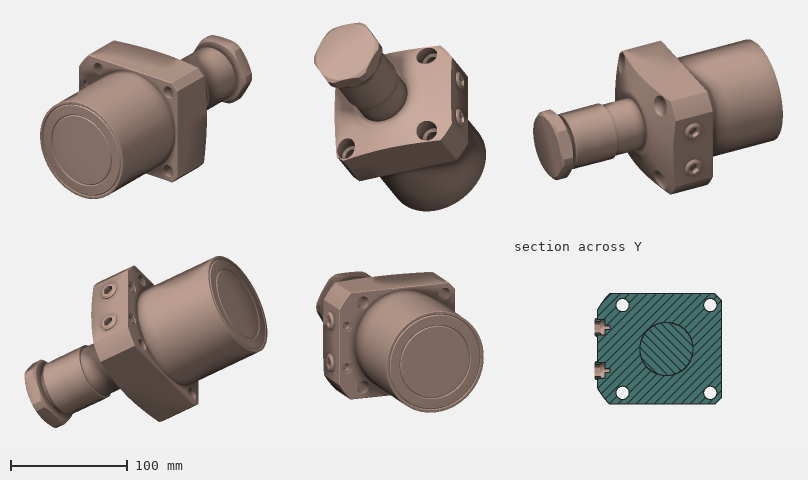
import cadquery as cq
import math

OVERALL_LENGTH = 203.0

BLOCK_HALF = 47.5
PORT_FACE_X = -59.3
BLOCK_CORNER_RADIUS = 68.0
BLOCK_CORNER_CHAMFER = 6.0
BLOCK_FRONT_Y = 73.7
BLOCK_BACK_Y = 120.2
BLOCK_EDGE_CHAMFER = 0.5
BACK_FLAT_RADIUS = 27.8
BACK_CONE_ANGLE = 15.0
BACK_CONE_MARGIN = 2.0
BARREL_RADIUS = 44.9
BARREL_EDGE_CHAMFER = 0.5
MOUNT_HOLE_OFFSET = 37.5
MOUNT_HOLE_RADIUS = 5.5
MOUNT_HEAD_RADIUS = 9.0
MOUNT_HEAD_SEAT_Y = 101.5

PORT_OFFSET_Z = 18.5
SIDE_PORT_Y = 92.8
SIDE_PORT_RADIUS = 6.5
SIDE_PORT_END_X = -52.8
SIDE_PILOT_RADIUS = 1.6
SIDE_PILOT_END_X = -48.7
FRONT_PORT_X = -52.4
FRONT_PORT_RADIUS = 3.2
FRONT_PORT_SEAL_RADIUS = 5.3
FRONT_PORT_SEAL_DEPTH = 1.2

PLUG_HEAD_HEIGHT = 2.2
PLUG_HEAD_RADIUS = 8.0
PLUG_FACE_RADIUS = 6.3
PLUG_RIM_HEIGHT = 1.0
PLUG_SHANK_LENGTH = 3.2
PLUG_HEX_WIDTH = 8.3
PLUG_HEX_DEPTH = 4.9

CLOSURE_DEPTH = 16.2
RING_RADIUS = 41.8
DISC_RADIUS = 32.0
SEAM_CHAMFER = 0.8

SHAFT_RADIUS = 22.5
COLLAR_START_Y = 148.2
COLLAR_END_Y = 186.4
COLLAR_START_RADIUS = 24.5
COLLAR_END_RADIUS = 24.4
COLLAR_CHAMFER = 0.6
UNDERCUT_RADIUS = 18.7
UNDERCUT_END_Y = 187.4
STUD_RADIUS = 19.7
STUD_START_Y = 189.5

NUT_WIDTH = 55.0
NUT_CORNER_RADIUS = 30.0
NUT_TURN = 30.0
NUT_START_Y = 191.2
NUT_FACE_RADIUS = 27.2
NUT_CHAMFER_ANGLE = 30.0


def revolve_about_y(points):
    """Solid of revolution about Y from (radius, y) points."""
    return cq.Workplane("XY").polyline(points).close().revolve(360, (0, 0, 0), (0, 1, 0))


def cylinder_y(radius, start_y, end_y, x=0, z=0):
    """Cylinder along Y between two Y positions."""
    return cq.Workplane(cq.Solid.makeCylinder(
        radius, end_y - start_y, cq.Vector(x, start_y, z), cq.Vector(0, 1, 0)))


def cylinder_x(radius, start_x, end_x, y, z):
    """Cylinder along X between two X positions."""
    return cq.Workplane(cq.Solid.makeCylinder(
        radius, end_x - start_x, cq.Vector(start_x, y, z), cq.Vector(1, 0, 0)))


def make_block():
    """Flange block with two rounded and two chamfered corners and a conical back."""
    arc_x = -math.sqrt(BLOCK_CORNER_RADIUS**2 - BLOCK_HALF**2)
    arc_z = math.sqrt(BLOCK_CORNER_RADIUS**2 - PORT_FACE_X**2)
    middle_angle = (math.atan2(BLOCK_HALF, arc_x) + math.atan2(arc_z, PORT_FACE_X)) / 2
    middle_x = BLOCK_CORNER_RADIUS * math.cos(middle_angle)
    middle_z = BLOCK_CORNER_RADIUS * math.sin(middle_angle)
    cut = BLOCK_HALF - BLOCK_CORNER_CHAMFER
    block = (
        cq.Workplane("XZ", origin=(0, BLOCK_FRONT_Y, 0))
        .moveTo(arc_x, BLOCK_HALF)
        .lineTo(cut, BLOCK_HALF)
        .lineTo(BLOCK_HALF, cut)
        .lineTo(BLOCK_HALF, -cut)
        .lineTo(cut, -BLOCK_HALF)
        .lineTo(arc_x, -BLOCK_HALF)
        .threePointArc((middle_x, -middle_z), (PORT_FACE_X, -arc_z))
        .lineTo(PORT_FACE_X, arc_z)
        .threePointArc((middle_x, middle_z), (arc_x, BLOCK_HALF))
        .close()
        .extrude(BLOCK_FRONT_Y - BLOCK_BACK_Y)
    )
    block = block.faces("<Y").chamfer(BLOCK_EDGE_CHAMFER)

    envelope_radius = BLOCK_CORNER_RADIUS + BACK_CONE_MARGIN
    cone_drop = (envelope_radius - BACK_FLAT_RADIUS) * math.tan(math.radians(BACK_CONE_ANGLE))
    envelope = revolve_about_y([
        (0, BLOCK_FRONT_Y),
        (envelope_radius, BLOCK_FRONT_Y),
        (envelope_radius, BLOCK_BACK_Y - cone_drop),
        (BACK_FLAT_RADIUS, BLOCK_BACK_Y),
        (0, BLOCK_BACK_Y),
    ])
    return block.intersect(envelope)


def cut_ports(housing, z):
    """Side port and front port that meet inside the block at height z."""
    housing = housing.cut(cylinder_x(SIDE_PORT_RADIUS, PORT_FACE_X, SIDE_PORT_END_X, SIDE_PORT_Y, z))
    housing = housing.cut(cylinder_x(SIDE_PILOT_RADIUS, PORT_FACE_X, SIDE_PILOT_END_X, SIDE_PORT_Y, z))
    housing = housing.cut(cylinder_y(FRONT_PORT_RADIUS, BLOCK_FRONT_Y, SIDE_PORT_Y, FRONT_PORT_X, z))
    seal_floor_y = BLOCK_FRONT_Y + FRONT_PORT_SEAL_DEPTH
    return housing.cut(cylinder_y(FRONT_PORT_SEAL_RADIUS, BLOCK_FRONT_Y, seal_floor_y, FRONT_PORT_X, z))


def make_housing():
    """Block and barrel with the closure recess, rod bore, mounting holes and ports."""
    barrel = cylinder_y(BARREL_RADIUS, 0, BLOCK_FRONT_Y).faces("<Y").chamfer(BARREL_EDGE_CHAMFER)
    housing = make_block().union(barrel)

    recess = revolve_about_y([
        (0, 0),
        (RING_RADIUS + SEAM_CHAMFER, 0),
        (RING_RADIUS, SEAM_CHAMFER),
        (RING_RADIUS, CLOSURE_DEPTH),
        (0, CLOSURE_DEPTH),
    ])
    housing = housing.cut(recess)
    housing = housing.cut(cylinder_y(SHAFT_RADIUS, CLOSURE_DEPTH, BLOCK_BACK_Y))

    for x in (-MOUNT_HOLE_OFFSET, MOUNT_HOLE_OFFSET):
        for z in (-MOUNT_HOLE_OFFSET, MOUNT_HOLE_OFFSET):
            housing = housing.cut(cylinder_y(MOUNT_HOLE_RADIUS, BLOCK_FRONT_Y, BLOCK_BACK_Y, x, z))
            housing = housing.cut(cylinder_y(MOUNT_HEAD_RADIUS, MOUNT_HEAD_SEAT_Y, BLOCK_BACK_Y, x, z))

    for z in (-PORT_OFFSET_Z, PORT_OFFSET_Z):
        housing = cut_ports(housing, z)
    return housing


def make_ring():
    """Closure ring, chamfered at the front along both seams."""
    return revolve_about_y([
        (DISC_RADIUS + SEAM_CHAMFER, 0),
        (RING_RADIUS - SEAM_CHAMFER, 0),
        (RING_RADIUS, SEAM_CHAMFER),
        (RING_RADIUS, CLOSURE_DEPTH),
        (DISC_RADIUS, CLOSURE_DEPTH),
        (DISC_RADIUS, SEAM_CHAMFER),
    ])


def make_disc():
    """Closure disc inside the ring."""
    return cylinder_y(DISC_RADIUS, 0, CLOSURE_DEPTH).faces("<Y").chamfer(SEAM_CHAMFER)


def make_rod():
    """Rod from the closure to the stud end, which is flush with the nut."""
    return revolve_about_y([
        (0, CLOSURE_DEPTH),
        (SHAFT_RADIUS, CLOSURE_DEPTH),
        (SHAFT_RADIUS, COLLAR_START_Y),
        (COLLAR_START_RADIUS, COLLAR_START_Y),
        (COLLAR_END_RADIUS, COLLAR_END_Y - COLLAR_CHAMFER),
        (COLLAR_END_RADIUS - COLLAR_CHAMFER, COLLAR_END_Y),
        (UNDERCUT_RADIUS, COLLAR_END_Y),
        (UNDERCUT_RADIUS, UNDERCUT_END_Y),
        (STUD_RADIUS, STUD_START_Y),
        (STUD_RADIUS, OVERALL_LENGTH),
        (0, OVERALL_LENGTH),
    ])


def make_nut():
    """Hexagon nut with rounded corners and both end faces chamfered."""
    hexagon = (
        cq.Workplane("XZ", origin=(0, NUT_START_Y, 0))
        .transformed(rotate=(0, 0, NUT_TURN))
        .polygon(6, NUT_WIDTH, circumscribed=True)
        .extrude(NUT_START_Y - OVERALL_LENGTH)
    )
    chamfer_height = (NUT_CORNER_RADIUS - NUT_FACE_RADIUS) * math.tan(math.radians(NUT_CHAMFER_ANGLE))
    envelope = revolve_about_y([
        (STUD_RADIUS, NUT_START_Y),
        (NUT_FACE_RADIUS, NUT_START_Y),
        (NUT_CORNER_RADIUS, NUT_START_Y + chamfer_height),
        (NUT_CORNER_RADIUS, OVERALL_LENGTH - chamfer_height),
        (NUT_FACE_RADIUS, OVERALL_LENGTH),
        (STUD_RADIUS, OVERALL_LENGTH),
    ])
    return hexagon.intersect(envelope)


def make_plug(z):
    """Port plug at height z with a chamfered head and a hexagon socket."""
    head_x = PORT_FACE_X - PLUG_HEAD_HEIGHT
    plug = (
        cq.Workplane("XY")
        .polyline([
            (head_x, 0),
            (head_x, PLUG_FACE_RADIUS),
            (PORT_FACE_X - PLUG_RIM_HEIGHT, PLUG_HEAD_RADIUS),
            (PORT_FACE_X, PLUG_HEAD_RADIUS),
            (PORT_FACE_X, SIDE_PORT_RADIUS),
            (PORT_FACE_X + PLUG_SHANK_LENGTH, SIDE_PORT_RADIUS),
            (PORT_FACE_X + PLUG_SHANK_LENGTH, 0),
        ])
        .close()
        .revolve(360, (0, 0, 0), (1, 0, 0))
    )
    socket = (
        cq.Workplane("YZ", origin=(head_x, 0, 0))
        .polygon(6, PLUG_HEX_WIDTH, circumscribed=True)
        .extrude(PLUG_HEX_DEPTH)
    )
    return plug.cut(socket).translate((0, SIDE_PORT_Y, z))


housing = make_housing()
ring = make_ring()
disc = make_disc()
rod = make_rod()
nut = make_nut()
plugs = [make_plug(z) for z in (-PORT_OFFSET_Z, PORT_OFFSET_Z)]

result = cq.Compound.makeCompound([
    housing.val(),
    ring.val(),
    disc.val(),
    rod.val(),
    nut.val(),
    *[plug.val() for plug in plugs],
])